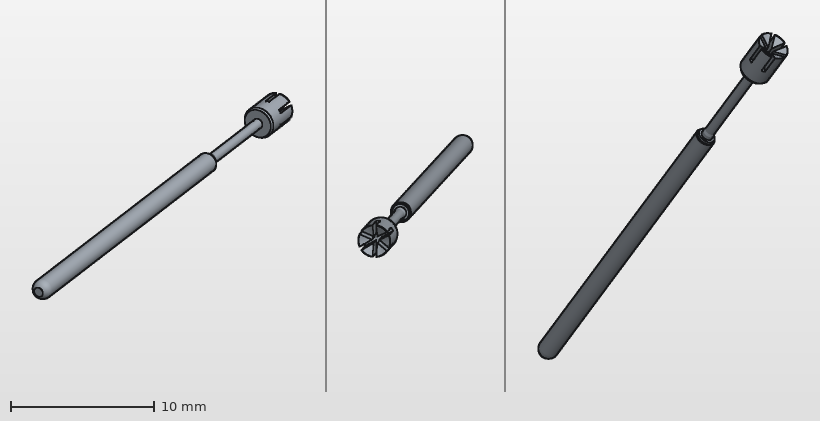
import cadquery as cq
import math

length = 35.2
head_diameter = 2.3
head_length = 3.0
head_chamfer_length = 0.18
head_chamfer_inset = 0.1
mouth_cone_diameter = 2.2
mouth_cone_depth = 0.67
slot_width = 0.265
slot_depth = 1.55
slot_angles = (30, 90, 150)
rod_diameter = 0.75
neck_diameter = 0.85
barrel_diameter = 1.45
barrel_length = 25.0
rim_length = 0.2
rim_inset = 0.1
tip_length = 0.65
neck_taper_length = 0.2
neck_length = 0.3

head_radius = head_diameter / 2
rod_radius = rod_diameter / 2
neck_radius = neck_diameter / 2
barrel_radius = barrel_diameter / 2
front = length / 2
back = -length / 2
head_back = front - head_length
barrel_front = back + barrel_length
neck_front = barrel_front + neck_length
tip_start = back + tip_length
tip_flat_radius = math.sqrt(barrel_radius**2 - tip_length**2)
tip_mid_radius = barrel_radius * math.cos(math.asin(tip_length / barrel_radius) / 2)
tip_mid_y = tip_start - math.sqrt(barrel_radius**2 - tip_mid_radius**2)


def make_body():
    """Barrel, stepped rim, tapering neck, rod and head turned from one half profile."""
    return (
        cq.Workplane("XY")
        .moveTo(0, back)
        .lineTo(tip_flat_radius, back)
        .threePointArc((tip_mid_radius, tip_mid_y), (barrel_radius, tip_start))
        .lineTo(barrel_radius, barrel_front - rim_length)
        .lineTo(barrel_radius - rim_inset, barrel_front - rim_length)
        .lineTo(barrel_radius - rim_inset, barrel_front)
        .lineTo(neck_radius, barrel_front)
        .lineTo(neck_radius, neck_front)
        .lineTo(rod_radius, neck_front + neck_taper_length)
        .lineTo(rod_radius, head_back)
        .lineTo(head_radius - head_chamfer_inset, head_back)
        .lineTo(head_radius, head_back + head_chamfer_length)
        .lineTo(head_radius, front)
        .lineTo(0, front)
        .close()
        .revolve(360, (0, 0, 0), (0, 1, 0))
    )


def make_mouth_cone():
    """Shallow cone sunk into the end of the head, leaving a thin rim."""
    return (
        cq.Workplane("XY")
        .moveTo(0, front - mouth_cone_depth)
        .lineTo(mouth_cone_diameter / 2, front)
        .lineTo(0, front)
        .close()
        .revolve(360, (0, 0, 0), (0, 1, 0))
    )


def make_slot(angle):
    """Slot across the full head, turned about the probe axis."""
    slot = cq.Workplane("XY").box(2 * head_diameter, slot_depth, slot_width)
    slot = slot.translate((0, front - slot_depth / 2, 0))
    return slot.rotate((0, 0, 0), (0, 1, 0), angle)


result = make_body().cut(make_mouth_cone())
for slot_angle in slot_angles:
    result = result.cut(make_slot(slot_angle))